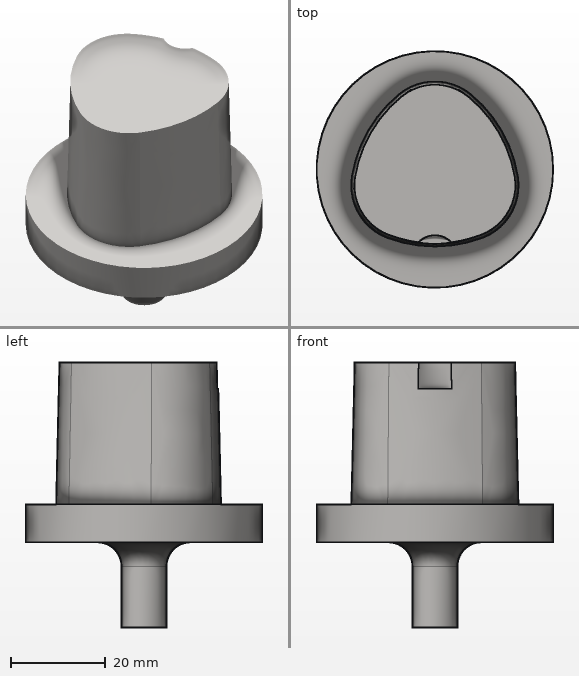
import cadquery as cq
import math

total_height = 56.0
shank_length = 18.0
flange_thickness = 8.0
flange_top = shank_length + flange_thickness
plug_height = total_height - flange_top

flange_diameter = 50.0
shank_diameter = 9.6
root_fillet = 5.0

lobe_reach = 18.6
flat_reach = 16.3
lobe_radius = 11.9
wall_draw_in = 0.7

notch_radius = 4.7
notch_inner_y = -13.9
notch_depth = 5.55


def polar(radius, degrees):
    angle = math.radians(degrees)
    return radius * math.cos(angle), radius * math.sin(angle)


def make_stem():
    """Flange and shank, joined by a quarter-round root, as one revolved profile."""
    shank_radius = shank_diameter / 2
    root_radius = shank_radius + root_fillet
    arc_x, arc_z = polar(root_fillet, 135)
    return (
        cq.Workplane("XZ")
        .lineTo(shank_radius, 0)
        .lineTo(shank_radius, shank_length - root_fillet)
        .threePointArc(
            (root_radius + arc_x, shank_length - root_fillet + arc_z),
            (root_radius, shank_length),
        )
        .lineTo(flange_diameter / 2, shank_length)
        .lineTo(flange_diameter / 2, flange_top)
        .lineTo(0, flange_top)
        .close()
        .revolve(360, (0, 0, 0), (0, 1, 0))
    )


def make_plug():
    """Tapered plug bounded by three tight lobe arcs and three broad tangent arcs."""
    lobe_offset = lobe_reach - lobe_radius
    radius_gap = flat_reach - lobe_radius
    flat_offset = (lobe_offset**2 - radius_gap**2) / (2 * radius_gap - lobe_offset)
    flat_radius = flat_reach + flat_offset

    lobe_x, lobe_y = polar(lobe_offset, -30)
    stretch = flat_radius / (flat_radius - lobe_radius)
    seam_x = lobe_x * stretch
    seam_y = flat_offset + (lobe_y - flat_offset) * stretch
    seam_distance = math.hypot(seam_x, seam_y)
    seam_angle = math.degrees(math.atan2(seam_y, seam_x)) + 90

    outline = cq.Workplane("XY", origin=(0, 0, flange_top))
    outline = outline.moveTo(*polar(seam_distance, -90 - seam_angle))
    for flat_direction in (-90, 30, 150):
        outline = outline.threePointArc(
            polar(flat_reach, flat_direction),
            polar(seam_distance, flat_direction + seam_angle),
        ).threePointArc(
            polar(lobe_reach, flat_direction + 60),
            polar(seam_distance, flat_direction + 120 - seam_angle),
        )
    taper = math.degrees(math.atan(wall_draw_in / plug_height))
    return outline.close().extrude(plug_height, taper=taper)


def make_notch():
    return (
        cq.Workplane("XY", origin=(0, notch_inner_y - notch_radius, total_height - notch_depth))
        .circle(notch_radius)
        .extrude(notch_depth)
    )


result = make_stem().union(make_plug()).cut(make_notch())